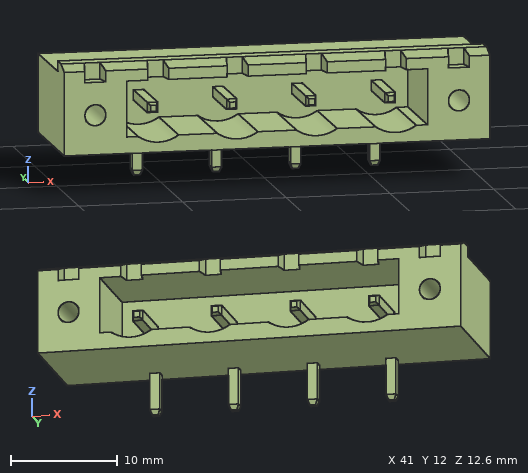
import cadquery as cq


LENGTH = 41.05
DEPTH = 12.0
HEIGHT = 8.6
SHELF_DROP = 1.0
RIB_DEPTH = 3.0
BEVEL_DEPTH = 1.48
BEVEL_DROP = 0.55

CAVITY_MARGIN = 6.05
CAVITY_FLOOR = 1.6
CAVITY_ROOF = 7.0
CAVITY_DEPTH = 9.0
SCALLOP_WIDTH = 3.9
SCALLOP_DEPTH = 0.6

PIN_COUNT = 4
PIN_PITCH = 7.65
PIN_SIZE = 1.0
PIN_AXIS_HEIGHT = 3.8
PIN_FRONT = 2.2
PIN_LEG_INSET = 1.97
PIN_LEG_LENGTH = 4.02
LEG_TIP_LENGTH = 0.5
CONTACT_TIP_LENGTH = 0.5
TIP_INSET = 0.2

SLOT_FRONT_WIDTH = 2.0
SLOT_REAR_WIDTH = 1.5

SCREW_DIAMETER = 2.0
SCREW_INSET = 3.0
SCREW_HOLE_DEPTH = CAVITY_DEPTH

pin_places = [(i - (PIN_COUNT - 1) / 2) * PIN_PITCH for i in range(PIN_COUNT)]
screw_places = [side * (LENGTH / 2 - SCREW_INSET) for side in (-1, 1)]


def make_housing():
    """Side profile with a bevelled rib along the top front edge."""
    profile = [
        (0, 0),
        (DEPTH, 0),
        (DEPTH, HEIGHT - SHELF_DROP),
        (RIB_DEPTH, HEIGHT - SHELF_DROP),
        (RIB_DEPTH, HEIGHT),
        (BEVEL_DEPTH, HEIGHT),
        (0, HEIGHT - BEVEL_DROP),
    ]
    return cq.Workplane("YZ").polyline(profile).close().extrude(LENGTH / 2, both=True)


def make_cavity():
    """Rectangular cavity whose floor dips in an arc below each pin."""
    half_length = LENGTH / 2 - CAVITY_MARGIN
    outline = cq.Workplane("XZ").moveTo(-half_length, CAVITY_ROOF).lineTo(-half_length, CAVITY_FLOOR)
    for x in pin_places:
        outline = outline.lineTo(x - SCALLOP_WIDTH / 2, CAVITY_FLOOR)
        outline = outline.threePointArc(
            (x, CAVITY_FLOOR - SCALLOP_DEPTH),
            (x + SCALLOP_WIDTH / 2, CAVITY_FLOOR),
        )
    outline = outline.lineTo(half_length, CAVITY_FLOOR).lineTo(half_length, CAVITY_ROOF).close()
    return outline.extrude(-CAVITY_DEPTH)


def make_slot(x):
    """Tapered slot, open to the front and the top."""
    outline = [
        (x - SLOT_FRONT_WIDTH / 2, 0),
        (x + SLOT_FRONT_WIDTH / 2, 0),
        (x + SLOT_REAR_WIDTH / 2, BEVEL_DEPTH),
        (x - SLOT_REAR_WIDTH / 2, BEVEL_DEPTH),
    ]
    slot = cq.Workplane("XY").workplane(offset=CAVITY_ROOF).polyline(outline).close()
    return slot.extrude(HEIGHT - CAVITY_ROOF)


def make_screw_hole(x):
    """Blind round hole in the front face."""
    return cq.Workplane("XZ").center(x, PIN_AXIS_HEIGHT).circle(SCREW_DIAMETER / 2).extrude(-SCREW_HOLE_DEPTH)


def make_pin(x):
    """Square right-angle pin with a tapered tip on each end."""
    leg_y = DEPTH - PIN_LEG_INSET
    contact_length = leg_y + PIN_SIZE / 2 - PIN_FRONT
    leg_length = PIN_AXIS_HEIGHT + PIN_LEG_LENGTH
    contact = (
        cq.Workplane("XZ", origin=(x, PIN_FRONT, PIN_AXIS_HEIGHT))
        .rect(PIN_SIZE, PIN_SIZE)
        .extrude(-contact_length)
        .faces("<Y")
        .chamfer(CONTACT_TIP_LENGTH, TIP_INSET)
    )
    leg = (
        cq.Workplane("XY", origin=(x, leg_y, -PIN_LEG_LENGTH))
        .rect(PIN_SIZE, PIN_SIZE)
        .extrude(leg_length)
        .faces("<Z")
        .chamfer(LEG_TIP_LENGTH, TIP_INSET)
    )
    return contact.union(leg)


result = make_housing().cut(make_cavity())
for x in pin_places + screw_places:
    result = result.cut(make_slot(x))
for x in screw_places:
    result = result.cut(make_screw_hole(x))
for x in pin_places:
    result = result.union(make_pin(x))